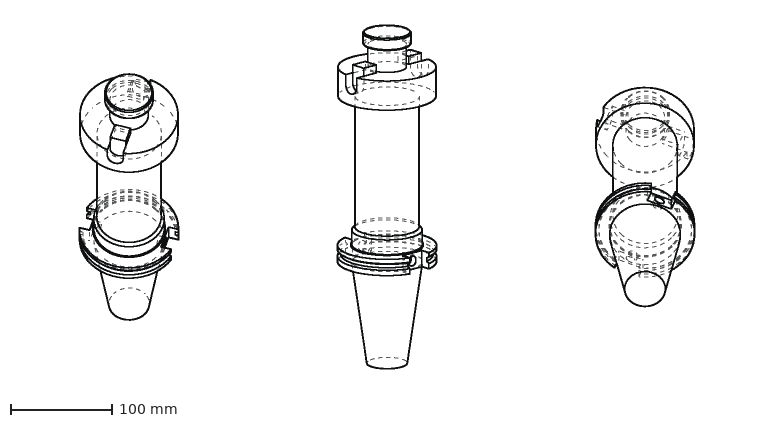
import cadquery as cq

TOTAL_HEIGHT = 341.3

TAPER_END_RADIUS = 20.0
TAPER_RADIUS = 34.8
TAPER_HEIGHT = 101.7
FLANGE_RADIUS = 48.98
FLANGE_BOTTOM = 104.8
FLANGE_TOP = 121.5
GROOVE_BOTTOM = 110.2
GROOVE_TOP = 117.0
GROOVE_FLOOR_RADIUS = 45.7
GROOVE_WALL_RISE = 1.7

NOTCH_WIDTH = 25.5
NOTCH_FLOOR_X = 37.0
NOTCH_HOLE_DIAMETER = 10.0
NOTCH_HOLE_DEPTH = 6.8

NECK_RADIUS = TAPER_RADIUS
NECK_STEP_RADIUS = 36.0
NECK_STEP_HEIGHT = 0.7
NECK_TOP = 140.3
SHANK_RADIUS = 31.7
NECK_CHAMFER = NECK_RADIUS - SHANK_RADIUS

COLLAR_RADIUS = 48.5
COLLAR_BOTTOM = 275.0
COLLAR_TOP = 305.0
KEY_WIDTH = 16.0
KEY_INNER_Y = 22.0
KEY_OUTER_Y = 38.5
KEY_TOP = 313.5
KEY_SLOT_BOTTOM = 287.0
PILOT_RADIUS = 19.0

SCREW_RADIUS = 24.0
SCREW_THICKNESS = 12.5
SCREW_CHAMFER = 1.5
SCREW_BOTTOM = TOTAL_HEIGHT - SCREW_THICKNESS


def turned_blank():
    """Revolved profile of the holder, from the taper up to the pilot."""
    profile = [
        (0, 0),
        (TAPER_END_RADIUS, 0),
        (TAPER_RADIUS, TAPER_HEIGHT),
        (TAPER_RADIUS, FLANGE_BOTTOM),
        (FLANGE_RADIUS, FLANGE_BOTTOM),
        (FLANGE_RADIUS, GROOVE_BOTTOM),
        (GROOVE_FLOOR_RADIUS, GROOVE_BOTTOM + GROOVE_WALL_RISE),
        (GROOVE_FLOOR_RADIUS, GROOVE_TOP - GROOVE_WALL_RISE),
        (FLANGE_RADIUS, GROOVE_TOP),
        (FLANGE_RADIUS, FLANGE_TOP),
        (NECK_STEP_RADIUS, FLANGE_TOP),
        (NECK_STEP_RADIUS, FLANGE_TOP + NECK_STEP_HEIGHT),
        (NECK_RADIUS, FLANGE_TOP + NECK_STEP_HEIGHT),
        (NECK_RADIUS, NECK_TOP - NECK_CHAMFER),
        (SHANK_RADIUS, NECK_TOP),
        (SHANK_RADIUS, COLLAR_BOTTOM),
        (COLLAR_RADIUS, COLLAR_BOTTOM),
        (COLLAR_RADIUS, COLLAR_TOP),
        (PILOT_RADIUS, COLLAR_TOP),
        (PILOT_RADIUS, SCREW_BOTTOM),
        (0, SCREW_BOTTOM),
    ]
    return cq.Workplane("XZ").polyline(profile).close().revolve(360, (0, 0, 0), (0, 1, 0))


def flange_notch():
    """Cutter for the -X notch, with the round hole in its floor."""
    notch_height = FLANGE_TOP - FLANGE_BOTTOM
    notch_depth = FLANGE_RADIUS - NOTCH_FLOOR_X
    notch = (
        cq.Workplane("XY", origin=(-NOTCH_FLOOR_X - notch_depth / 2, 0, FLANGE_BOTTOM))
        .box(notch_depth, NOTCH_WIDTH, notch_height, centered=(True, True, False))
    )
    hole = (
        cq.Workplane("YZ", origin=(-NOTCH_FLOOR_X, 0, (FLANGE_BOTTOM + FLANGE_TOP) / 2))
        .circle(NOTCH_HOLE_DIAMETER / 2)
        .extrude(NOTCH_HOLE_DEPTH)
    )
    return notch.union(hole)


def key_slot():
    """Cutter for the round-bottomed slot outside the -Y key."""
    half_width = KEY_WIDTH / 2
    arc_height = KEY_SLOT_BOTTOM + half_width
    return (
        cq.Workplane("XZ", origin=(0, -KEY_OUTER_Y, 0))
        .moveTo(-half_width, COLLAR_TOP)
        .lineTo(-half_width, arc_height)
        .threePointArc((0, KEY_SLOT_BOTTOM), (half_width, arc_height))
        .lineTo(half_width, COLLAR_TOP)
        .close()
        .extrude(COLLAR_RADIUS - KEY_OUTER_Y)
    )


def drive_key():
    """Part of the -Y key that stands above the collar."""
    return (
        cq.Workplane("XY", origin=(0, -(KEY_INNER_Y + KEY_OUTER_Y) / 2, COLLAR_TOP))
        .box(KEY_WIDTH, KEY_OUTER_Y - KEY_INNER_Y, KEY_TOP - COLLAR_TOP, centered=(True, True, False))
    )


def make_holder():
    holder = turned_blank()
    for angle in (0, 180):
        holder = holder.cut(flange_notch().rotate((0, 0, 0), (0, 0, 1), angle))
        holder = holder.cut(key_slot().rotate((0, 0, 0), (0, 0, 1), angle))
        holder = holder.union(drive_key().rotate((0, 0, 0), (0, 0, 1), angle))
    return holder


def make_clamping_screw():
    """Chamfered disc that rests on the end of the pilot."""
    return (
        cq.Workplane("XY", origin=(0, 0, SCREW_BOTTOM))
        .circle(SCREW_RADIUS)
        .extrude(SCREW_THICKNESS)
        .faces("<Z or >Z")
        .edges()
        .chamfer(SCREW_CHAMFER)
    )


holder = make_holder()
clamping_screw = make_clamping_screw()
result = cq.Compound.makeCompound([holder.val(), clamping_screw.val()])